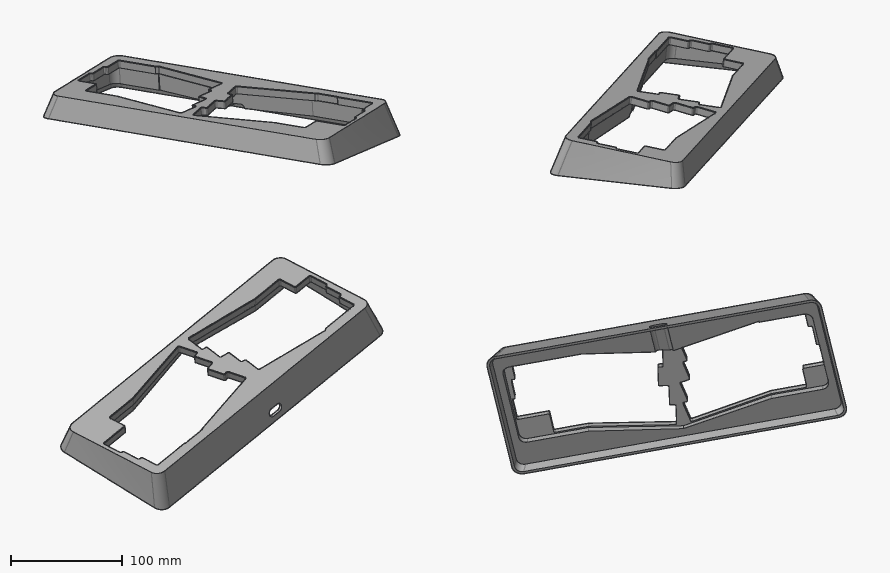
import cadquery as cq
import math

LENGTH = 306.0
WIDTH = 126.0
HEIGHT = 32.7
TILT = 6.0
TOP_LENGTH = 289.8
BACK_LEAN = 12.0
FRONT_LEAN = 4.5
FOOT_RADIUS = 9.5
TOP_RADIUS = 8.5

PLATE_THICKNESS = 7.3
EDGE_BREAK = 0.5
OPENING_RADIUS = 1.2
FOOT_RECESS_HEIGHT = 8.5
FOOT_WALL = 2.5

BACK_EDGE = 40.5
BACK_RELIEF = 0.5
SLANT_RELIEF = 0.3
RELIEF_OVERLAP = 3.0
FRONT_EDGE = -36.7
CORNER_BLOCK_EDGE = -17.7
SIDE_STEPS_X = (134.0, 137.7, 140.5)
SIDE_STEPS_Y = (21.7, 2.8)
LEFT_BLOCK_X = -120.5
RIGHT_BLOCK_X = 110.8
LEFT_RAMP_X = -95.5
RIGHT_RELIEF_X = 96.7
RIGHT_RELIEF_ACROSS = 79.0

SLANT = 10.0
LEFT_ACROSS = (-22.3, -17.7, -8.0, -2.9)
LEFT_ALONG = (25.0, 6.0, -12.0, -31.5, -51.5)
LEFT_SHOULDER = -98.5
RIGHT_ACROSS = (2.9, 7.5, -1.68, -7.3)
RIGHT_ALONG = (27.0, 7.5, -11.0, -30.3, -50.0)

CAVITY_MARGIN = 1.2
CAVITY_BACK_MARGIN = 1.8
CAVITY_RIGHT_SLANT_MARGIN = 2.8
CAVITY_RADIUS = 6.7

SLOT_X = -4.5
SLOT_Z = 9.0
SLOT_LENGTH = 16.0
SLOT_HEIGHT = 7.3
SLOT_END_Y = 27.5

SIN_SLANT = math.sin(math.radians(SLANT))
COS_SLANT = math.cos(math.radians(SLANT))

top_back = WIDTH / 2 - BACK_LEAN
top_front = -WIDTH / 2 + FRONT_LEAN
tilt_slope = math.tan(math.radians(TILT))
tilt_scale = math.cos(math.radians(TILT))

top_plane = cq.Plane(
    origin=(0, 0, HEIGHT - top_back * tilt_slope),
    xDir=(1, 0, 0),
    normal=(0, -math.sin(math.radians(TILT)), math.cos(math.radians(TILT))),
)


def slanted(across, along, side):
    """Point of a slanted key block in top-face coordinates; side is -1 left, +1 right."""
    x = across * COS_SLANT - side * along * SIN_SLANT
    y = side * across * SIN_SLANT + along * COS_SLANT
    return (x, y)


def slant_at_height(along, y, side):
    """Point where the slanted line at 'along' reaches the height y."""
    return (side * (y * COS_SLANT - along) / SIN_SLANT, y)


def shoulder_at_height(across, y):
    """Point where the left shoulder line reaches the height y."""
    return ((across + y * SIN_SLANT) / COS_SLANT, y)


def slants_meeting(left_along, right_along):
    """Point near the middle where a left and a right slanted line cross."""
    x = (left_along - right_along) / (2 * SIN_SLANT)
    y = (left_along + right_along) / (2 * COS_SLANT)
    return (x, y)


def inner_steps(across, along, side):
    """Inner staircase of an opening, from the back to the front."""
    points = []
    for row, edge in enumerate(across):
        points.append(slanted(edge, along[row], side))
        points.append(slanted(edge, along[row + 1], side))
    return points


def side_steps(side, block_x):
    """Outer staircase of an opening, from the front edge to the back edge."""
    narrow, middle, wide = SIDE_STEPS_X
    upper, lower = SIDE_STEPS_Y
    return [
        (block_x, FRONT_EDGE),
        (block_x, CORNER_BLOCK_EDGE),
        (side * wide, CORNER_BLOCK_EDGE),
        (side * wide, lower),
        (side * middle, lower),
        (side * middle, upper),
        (side * narrow, upper),
        (side * narrow, BACK_EDGE),
    ]


def opening_outline(across, along, side, block_x):
    """Closed outline of one key opening."""
    points = inner_steps(across, along, side)
    points.append(slant_at_height(along[-1], FRONT_EDGE, side))
    points += side_steps(side, block_x)
    points.append(slant_at_height(along[0], BACK_EDGE, side))
    return points


def left_peak():
    """Peak at the back of the left opening, where a ramp climbs from the back edge to the slant."""
    front = BACK_EDGE - RELIEF_OVERLAP
    return [
        (LEFT_RAMP_X, front),
        (LEFT_RAMP_X, BACK_EDGE),
        slanted(LEFT_SHOULDER, LEFT_ALONG[0], -1),
        slant_at_height(LEFT_ALONG[0], front, -1),
    ]


def right_relief():
    """Shallow relief around the bend at the back of the right opening."""
    front = BACK_EDGE - RELIEF_OVERLAP
    flat = BACK_EDGE + BACK_RELIEF
    slant = RIGHT_ALONG[0] + SLANT_RELIEF
    return [
        (RIGHT_RELIEF_X, front),
        (RIGHT_RELIEF_X, flat),
        slant_at_height(slant, flat, 1),
        slanted(RIGHT_RELIEF_ACROSS, slant, 1),
        slanted(RIGHT_RELIEF_ACROSS, RIGHT_ALONG[0] - RELIEF_OVERLAP, 1),
    ]


def cavity_outline():
    """Outline of the space below the key plate, a little wider than both openings."""
    side_x = SIDE_STEPS_X[-1] + CAVITY_MARGIN
    back = BACK_EDGE + CAVITY_BACK_MARGIN
    front = FRONT_EDGE - CAVITY_MARGIN
    left_back = LEFT_ALONG[0] + CAVITY_MARGIN
    right_back = RIGHT_ALONG[0] + CAVITY_RIGHT_SLANT_MARGIN
    left_front = LEFT_ALONG[-1] - CAVITY_MARGIN
    right_front = RIGHT_ALONG[-1] - CAVITY_MARGIN
    shoulder = LEFT_SHOULDER - CAVITY_MARGIN
    return [
        (-side_x, back),
        shoulder_at_height(shoulder, back),
        slanted(shoulder, left_back, -1),
        slants_meeting(left_back, right_back),
        slant_at_height(right_back, back, 1),
        (side_x, back),
        (side_x, front),
        slant_at_height(right_front, front, 1),
        slants_meeting(left_front, right_front),
        slant_at_height(left_front, front, -1),
        (-side_x, front),
    ]


def rounded_rectangle(length, front, back, radius):
    shape = cq.Sketch().push([(0, (front + back) / 2)]).rect(length, back - front).reset()
    return shape.vertices().fillet(radius)


def body():
    foot = rounded_rectangle(LENGTH, -WIDTH / 2, WIDTH / 2, FOOT_RADIUS)
    top = rounded_rectangle(TOP_LENGTH, top_front / tilt_scale, top_back / tilt_scale, TOP_RADIUS)
    return cq.Workplane().placeSketch(foot, top.moved(cq.Location(top_plane))).loft(ruled=True)


def prism(points):
    """Straight block under the top face, square to it."""
    return cq.Workplane(top_plane).polyline(points).close().extrude(-2 * HEIGHT)


def along_normal():
    return cq.selectors.ParallelDirSelector(top_plane.zDir)


def cut_openings(part):
    left = opening_outline(LEFT_ACROSS, LEFT_ALONG, -1, LEFT_BLOCK_X)
    right = opening_outline(RIGHT_ACROSS, RIGHT_ALONG, 1, RIGHT_BLOCK_X)
    for outline, relief in ((left, left_peak()), (right, right_relief())):
        block = prism(outline).edges(along_normal()).fillet(OPENING_RADIUS)
        part = part.cut(block.union(prism(relief)))
    return part


def break_opening_edges(part):
    """Small chamfer around both openings in the top face."""
    top_face = part.faces(cq.selectors.DirectionMinMaxSelector(top_plane.zDir, True)).val()
    rims = [edge for wire in top_face.innerWires() for edge in wire.Edges()]
    return part.newObject(rims).chamfer(EDGE_BREAK)


def cavity():
    """Space below the key plate, square to the top face and ending at the foot."""
    block = prism(cavity_outline()).translate(top_plane.zDir * -PLATE_THICKNESS)
    above_foot = cq.Workplane().box(2 * LENGTH, 2 * WIDTH, HEIGHT, centered=(True, True, False))
    rounded = block.edges(along_normal()).edges("<X or >X").fillet(CAVITY_RADIUS)
    return rounded.intersect(above_foot)


def foot_recess():
    """Wide recess in the foot whose walls lean inwards like the outer sides."""
    rise = FOOT_RECESS_HEIGHT / HEIGHT
    lean = (LENGTH - TOP_LENGTH) / 2 * rise
    length = LENGTH - 2 * FOOT_WALL
    front = FOOT_WALL - WIDTH / 2
    back = WIDTH / 2 - FOOT_WALL
    radius = FOOT_RADIUS - FOOT_WALL
    low = rounded_rectangle(length, front, back, radius)
    high = rounded_rectangle(length - 2 * lean, front + lean, back - BACK_LEAN * rise, radius)
    raised = high.moved(cq.Location(cq.Vector(0, 0, FOOT_RECESS_HEIGHT)))
    return cq.Workplane().placeSketch(low, raised).loft(ruled=True)


def cable_slot():
    depth = WIDTH / 2 - SLOT_END_Y
    slot = cq.Workplane("XZ", origin=(SLOT_X, WIDTH / 2, SLOT_Z))
    return slot.slot2D(SLOT_LENGTH, SLOT_HEIGHT).extrude(depth)


result = break_opening_edges(cut_openings(body()))
result = result.cut(cavity()).cut(foot_recess()).cut(cable_slot())